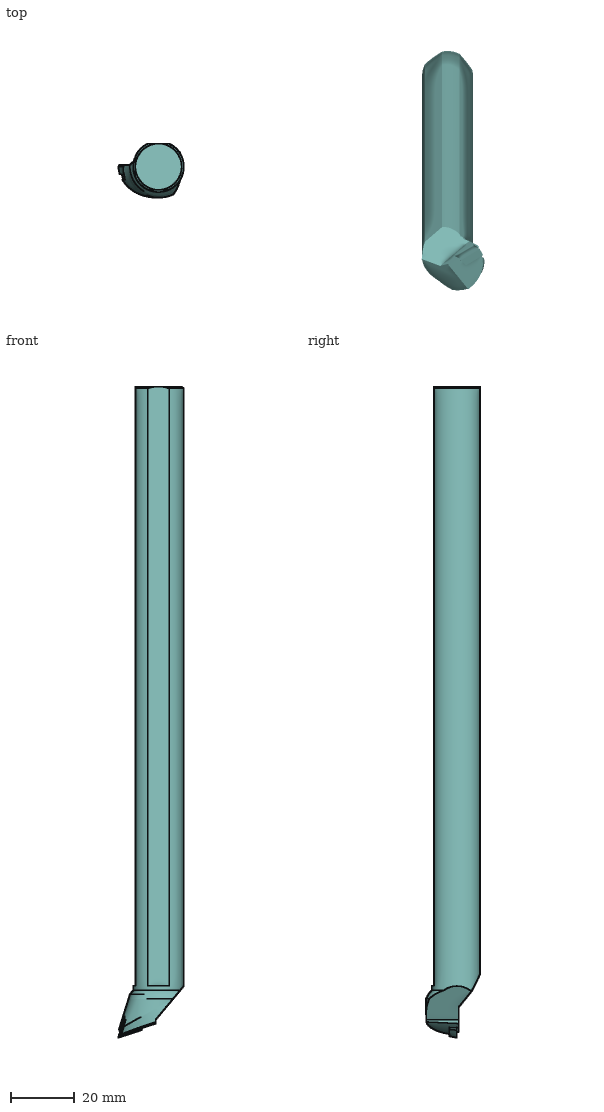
import cadquery as cq
import math


overall_length = 204.5
shank_radius = 8.0
flat_distance = 7.24
top_chamfer_width = 0.72
top_chamfer_height = 0.6
shank_end_z = 16.4

collar_bottom_z = 15.0
shoulder_z = 13.7
shoulder_radius = 9.0
swell_end_z = 12.3
head_radius = 9.73
head_lean = 0.31
knuckle_x, knuckle_z = -9.2, 4.5
knuckle_angle = 29.5
bend_angle = -72

tip_x = -12.7
insert_edge = 7.8
insert_thickness = 2.37
insert_angle = 55
insert_tilt = 18
insert_clearance = 7

deck_y = 0.6
end_setback = 0.6
end_rise = 0.05
back_top_x, back_top_z = 8.4, 16.8
back_low_x, back_low_z = -0.8, 5.7
relief_x, relief_y, relief_z = -3.37, flat_distance, 22.3
relief_slope_x, relief_slope_y = -0.35, 1.6
notch_depth = 0.72
notch_bottom_y = -4.0
notch_length = 7.0
notch_corner_radius = 1.5

cutter_size = 81.8


def half_space(point, normal):
    """A block that fills the side of a plane toward which the normal points."""
    plane = cq.Plane(origin=point, normal=normal)
    return cq.Workplane(plane).rect(cutter_size, cutter_size).extrude(cutter_size)


def direction(angle):
    """Unit X and Z components at an angle above the X axis."""
    return math.cos(math.radians(angle)), math.sin(math.radians(angle))


def make_shank():
    shank = (
        cq.Workplane("XY").workplane(offset=shank_end_z)
        .circle(shank_radius).extrude(overall_length - shank_end_z)
        .faces(">Z").chamfer(top_chamfer_height, top_chamfer_width)
    )
    for side_x, side_y in [(-1, 0), (0, -1), (0, 1)]:
        reach = flat_distance + cutter_size / 2
        side_block = cq.Workplane("XY").box(cutter_size, cutter_size, 2 * overall_length)
        shank = shank.cut(side_block.translate((side_x * reach, side_y * reach, overall_length / 2)))
    return shank


def head_loft(top_z, top_radius, low_z, low_radius):
    """A frustum whose -X side follows the lean of the head below the shoulder."""

    def circle_at(z, radius):
        left = -shoulder_radius - head_lean * (shoulder_z - z)
        return cq.Wire.makeCircle(radius, cq.Vector(left + radius, 0, z), cq.Vector(0, 0, 1))

    sections = [circle_at(top_z, top_radius), circle_at(low_z, low_radius)]
    return cq.Workplane(cq.Solid.makeLoft(sections, True))


def make_head():
    collar = (
        cq.Workplane("XZ")
        .polyline([
            (0, shank_end_z), (shank_radius, shank_end_z), (shank_radius, collar_bottom_z),
            (shoulder_radius, shoulder_z), (0, shoulder_z),
        ])
        .close().revolve(360, (0, 0, 0), (0, 1, 0))
    )
    swell = head_loft(shoulder_z, shoulder_radius, swell_end_z, head_radius)
    neck = head_loft(swell_end_z, head_radius, -swell_end_z, head_radius)
    upper = collar.union(swell).union(neck)

    along_x, along_z = direction(knuckle_angle)
    below = half_space((knuckle_x, 0, knuckle_z), (along_z, 0, -along_x))
    upper = upper.cut(below)
    section = upper.faces(cq.selectors.DirectionMinMaxSelector(cq.Vector(along_z, 0, -along_x))).val()
    bend_x, bend_z = direction(bend_angle)
    lower = cq.Solid.extrudeLinear(section, cq.Vector(bend_x, 0, bend_z) * head_radius * 2)
    return upper.union(cq.Workplane(lower))


def make_insert_profile():
    """The rhombus of the insert top, extending from its tip."""
    end_x, end_z = direction(insert_tilt)
    side_x, side_z = direction(insert_tilt + insert_angle)
    end_corner = (tip_x + insert_edge * end_x, insert_edge * end_z)
    side_corner = (tip_x + insert_edge * side_x, insert_edge * side_z)
    far_corner = (end_corner[0] + insert_edge * side_x, end_corner[1] + insert_edge * side_z)
    return cq.Workplane("XZ").polyline([(tip_x, 0), end_corner, far_corner, side_corner]).close()


def make_insert():
    return make_insert_profile().extrude(insert_thickness, taper=insert_clearance)


def cut_end_face(holder):
    end_x, end_z = direction(insert_tilt)
    point = (tip_x - end_setback * end_z, 0, end_setback * end_x)
    return holder.cut(half_space(point, (end_z, -end_rise, -end_x)))


def cut_back(holder):
    back = (
        cq.Workplane("XZ")
        .polyline([
            (back_top_x, back_top_z), (back_low_x, back_low_z), (back_low_x, -cutter_size),
            (cutter_size, -cutter_size), (cutter_size, back_top_z),
        ])
        .close().extrude(cutter_size, both=True)
    )
    return holder.cut(back)


def cut_relief(holder):
    """Clear the +Y side down to the deck, ending in a sloping plane."""
    below_plane = half_space((relief_x, relief_y, relief_z), (relief_slope_x, relief_slope_y, -1))
    above_deck = half_space((0, deck_y, 0), (0, 1, 0))
    return holder.cut(below_plane.intersect(above_deck))


def cut_insert_seat(holder, insert):
    opening = make_insert_profile().extrude(-cutter_size)
    return holder.cut(opening).cut(insert)


def cut_notch(holder):
    """A rounded recess under the side edge of the insert."""
    side_x, side_z = direction(insert_tilt + insert_angle)
    plane = cq.Plane(
        origin=(tip_x + notch_depth * side_z, 0, -notch_depth * side_x),
        xDir=(0, 1, 0),
        normal=(side_z, 0, -side_x),
    )
    notch = (
        cq.Workplane(plane)
        .moveTo(0, notch_length)
        .lineTo(notch_bottom_y + notch_corner_radius, notch_length)
        .radiusArc((notch_bottom_y, notch_length - notch_corner_radius), -notch_corner_radius)
        .lineTo(notch_bottom_y, -notch_length)
        .lineTo(0, -notch_length)
        .close().extrude(-cutter_size)
    )
    return holder.cut(notch)


def make_holder(insert):
    holder = make_shank().union(make_head())
    holder = cut_end_face(holder)
    holder = cut_back(holder)
    holder = cut_relief(holder)
    holder = cut_notch(holder)
    return cut_insert_seat(holder, insert)


insert = make_insert()
holder = make_holder(insert)

result = cq.Compound.makeCompound([holder.val(), insert.val()])